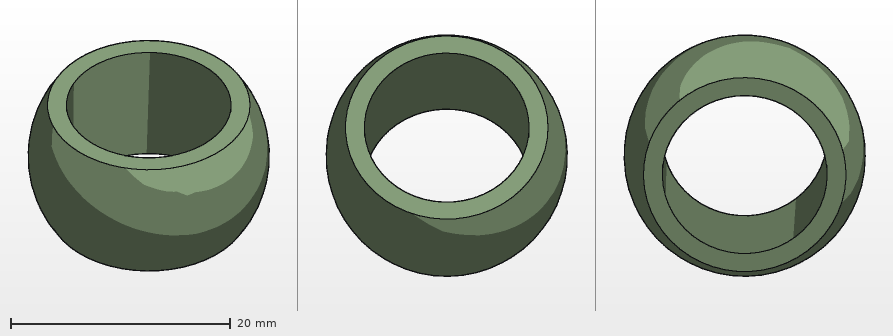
import cadquery as cq

ball_diameter = 22.0
ring_height = 12.0
bore_diameter = 15.0

ball = cq.Workplane("XY").sphere(ball_diameter / 2)
height_band = cq.Workplane("XY").box(ball_diameter, ball_diameter, ring_height)
ring = ball.intersect(height_band)

result = ring.faces(">Z").workplane(origin=(0, 0, 0)).circle(bore_diameter / 2).cutThruAll()